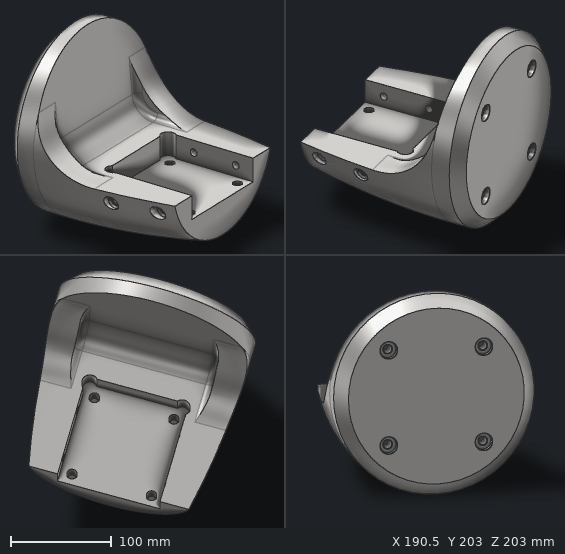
import cadquery as cq
import math

DISK_RADIUS = 101.5
RIM_CHAMFER = 12.5
BARREL_START_X = 32.5
LENGTH = 190.5
END_RADIUS = 85.5

WALL_TOP_X = 27.2
WALL_LEAN = math.radians(5.1)
SHELF_Z = -21.7
SADDLE_RADIUS = 70.0
RECESS_HALF_WIDTH = 71.3
RECESS_RADIUS = 25.8
RECESS_SIDE_FILLET = 7.5
MARGIN = 20.3

POCKET_START_X = 86.0
POCKET_HALF_WIDTH = 52.8
POCKET_DEPTH = 26.0
RELIEF_RADIUS = 16.0 / 2
RELIEF_INSET = 5.3

FLOOR_HOLE_RADIUS = 10.2 / 2
FLOOR_HOLE_DEPTH = 20.3
FLOOR_HOLE_X = (98.0, 179.8)
FLOOR_HOLE_Y = 41.0

CROSS_HOLE_RADIUS = 8.0 / 2
CROSS_HOLES = ((118.5, 81.3), (169.5, 70.0))
CROSS_HOLE_Z = -35.4
SEAT_RADIUS = 12.0 / 2
COUNTERBORE_RADIUS = 16.0 / 2

DISK_HOLE_OFFSET = 48.2
DISK_BORE_RADIUS = 17.0 / 2
DISK_BORE_DEPTH = 6.0
DISK_BORE_CHAMFER = 0.5
SCREW_MOUTH_RADIUS = 10.0 / 2
SCREW_HOLE_RADIUS = 8.5 / 2
SCREW_HOLE_END_X = 24.4


def turned_body():
    face_radius = DISK_RADIUS - RIM_CHAMFER
    return (
        cq.Workplane("XY")
        .lineTo(0, face_radius)
        .lineTo(RIM_CHAMFER, DISK_RADIUS)
        .lineTo(BARREL_START_X, DISK_RADIUS)
        .tangentArcPoint((LENGTH, END_RADIUS), relative=False)
        .lineTo(LENGTH, 0)
        .close()
        .revolve(360, (0, 0, 0), (1, 0, 0))
    )


def clearance(half_width, corner_radius):
    """Space right of the leaning wall and above the shelf, rounded where they meet."""
    top_z = DISK_RADIUS + MARGIN
    end_x = LENGTH + MARGIN
    top_x = WALL_TOP_X - MARGIN * math.tan(WALL_LEAN)
    corner_x = WALL_TOP_X + (DISK_RADIUS - SHELF_Z) * math.tan(WALL_LEAN)
    outline = [(top_x, top_z), (corner_x, SHELF_Z), (end_x, SHELF_Z), (end_x, top_z)]
    return (
        cq.Workplane("XZ")
        .polyline(outline)
        .close()
        .extrude(half_width, both=True)
        .edges(cq.selectors.NearestToPointSelector((corner_x, 0, SHELF_Z)))
        .fillet(corner_radius)
    )


def saddle():
    return clearance(DISK_RADIUS + MARGIN, SADDLE_RADIUS)


def recess():
    return (
        clearance(RECESS_HALF_WIDTH, RECESS_RADIUS)
        .faces("<Y or >Y")
        .edges()
        .fillet(RECESS_SIDE_FILLET)
    )


def pocket():
    length = LENGTH + MARGIN - POCKET_START_X
    base = cq.Workplane("XY", origin=(0, 0, SHELF_Z - POCKET_DEPTH))
    relief_x = POCKET_START_X + RELIEF_INSET
    relief_y = POCKET_HALF_WIDTH - RELIEF_INSET
    reliefs = (
        base.pushPoints([(relief_x, relief_y), (relief_x, -relief_y)])
        .circle(RELIEF_RADIUS)
        .extrude(POCKET_DEPTH)
    )
    return (
        base.center(POCKET_START_X, 0)
        .rect(length, 2 * POCKET_HALF_WIDTH, centered=(False, True))
        .extrude(POCKET_DEPTH)
        .union(reliefs)
    )


def floor_holes():
    points = [(x, y) for x in FLOOR_HOLE_X for y in (-FLOOR_HOLE_Y, FLOOR_HOLE_Y)]
    return (
        cq.Workplane("XY", origin=(0, 0, SHELF_Z - POCKET_DEPTH))
        .pushPoints(points)
        .circle(FLOOR_HOLE_RADIUS)
        .extrude(-FLOOR_HOLE_DEPTH)
    )


def cross_hole(x, seat_y):
    """Hole through both cheeks with a flat seat and counterbore on each side."""
    cone_end_y = seat_y + COUNTERBORE_RADIUS - SEAT_RADIUS
    half_hole = (
        cq.Workplane("XY", origin=(x, 0, CROSS_HOLE_Z))
        .lineTo(CROSS_HOLE_RADIUS, 0)
        .lineTo(CROSS_HOLE_RADIUS, seat_y)
        .lineTo(SEAT_RADIUS, seat_y)
        .lineTo(COUNTERBORE_RADIUS, cone_end_y)
        .lineTo(COUNTERBORE_RADIUS, DISK_RADIUS)
        .lineTo(0, DISK_RADIUS)
        .close()
        .revolve(360, (0, 0, 0), (0, 1, 0))
    )
    return half_hole.union(half_hole.mirror("XZ"))


def disk_hole(y, z):
    """Chamfered counterbore with a chamfered screw hole in its floor."""
    lead_in_end_x = DISK_BORE_DEPTH + SCREW_MOUTH_RADIUS - SCREW_HOLE_RADIUS
    return (
        cq.Workplane("XY", origin=(0, y, z))
        .lineTo(0, DISK_BORE_RADIUS + DISK_BORE_CHAMFER)
        .lineTo(DISK_BORE_CHAMFER, DISK_BORE_RADIUS)
        .lineTo(DISK_BORE_DEPTH, DISK_BORE_RADIUS)
        .lineTo(DISK_BORE_DEPTH, SCREW_MOUTH_RADIUS)
        .lineTo(lead_in_end_x, SCREW_HOLE_RADIUS)
        .lineTo(SCREW_HOLE_END_X, SCREW_HOLE_RADIUS)
        .lineTo(SCREW_HOLE_END_X, 0)
        .close()
        .revolve(360, (0, 0, 0), (1, 0, 0))
    )


result = turned_body().cut(saddle()).cut(recess()).cut(pocket()).cut(floor_holes())
for hole_x, hole_seat_y in CROSS_HOLES:
    result = result.cut(cross_hole(hole_x, hole_seat_y))
for hole_y in (-DISK_HOLE_OFFSET, DISK_HOLE_OFFSET):
    for hole_z in (-DISK_HOLE_OFFSET, DISK_HOLE_OFFSET):
        result = result.cut(disk_hole(hole_y, hole_z))